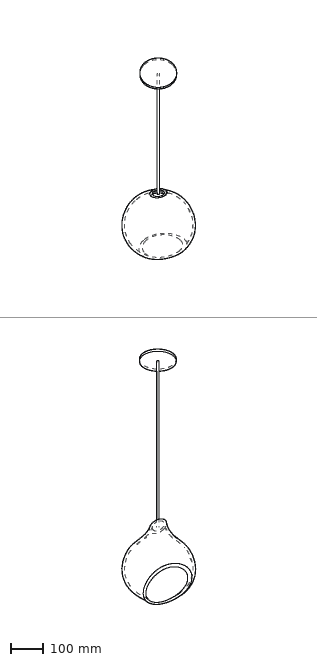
import cadquery as cq
import math

total_height = 880.5
hanging_axis_x = -3.5

canopy_diameter = 114.5
canopy_thickness = 9.0
canopy_underside_z = total_height - canopy_thickness

rod_diameter = 8.0
rod_end_z = 262.0

shade_max_radius = 114.5
shade_equator_z = 106.5
shade_wall = 8.0

cut_angle = 25.2
upper_cut_z = 266.0
lower_cut_z = 21.0
cut_block_size = 528.0

shade_profile = [
    (32.0, -18.0),
    (71.0, 27.0),
    (97.0, 54.0),
    (111.0, 80.0),
    (shade_max_radius, shade_equator_z),
    (110.0, 133.0),
    (99.0, 159.0),
    (77.0, 186.0),
    (54.0, 212.0),
    (36.0, 239.0),
    (26.0, 265.0),
    (23.0, 291.5),
]


def make_canopy():
    """Flat round disc at the top."""
    return (
        cq.Workplane("XY", origin=(hanging_axis_x, 0, canopy_underside_z))
        .circle(canopy_diameter / 2)
        .extrude(canopy_thickness)
    )


def make_rod():
    """Thin rod from the canopy underside down into the mouth of the shade."""
    return (
        cq.Workplane("XY", origin=(hanging_axis_x, 0, rod_end_z))
        .circle(rod_diameter / 2)
        .extrude(canopy_underside_z - rod_end_z)
    )


def make_drop():
    """Solid drop turned from the profile, before the ends are cut off."""
    lower_end_z = shade_profile[0][1]
    neck_end_z = shade_profile[-1][1]
    return (
        cq.Workplane("XZ")
        .moveTo(*shade_profile[0])
        .spline(shade_profile[1:], includeCurrent=True)
        .lineTo(0, neck_end_z)
        .lineTo(0, lower_end_z)
        .close()
        .revolve(360, (0, 0, 0), (0, 1, 0))
    )


def make_shade():
    """Hollow drop, open at both tilted ends."""
    drop = make_drop()
    rise = cut_block_size / 2 * math.tan(math.radians(cut_angle))
    between_cuts = (
        cq.Workplane("XZ")
        .polyline([
            (-cut_block_size / 2, lower_cut_z - rise),
            (cut_block_size / 2, lower_cut_z + rise),
            (cut_block_size / 2, upper_cut_z + rise),
            (-cut_block_size / 2, upper_cut_z - rise),
        ])
        .close()
        .extrude(cut_block_size / 2, both=True)
    )
    return drop.intersect(between_cuts).faces("%PLANE").shell(-shade_wall)


canopy = make_canopy()
rod = make_rod()
shade = make_shade()

result = cq.Compound.makeCompound([canopy.val(), rod.val(), shade.val()])